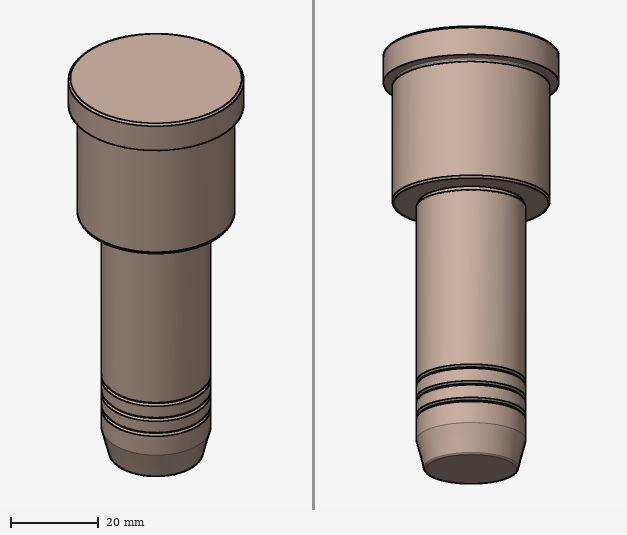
import cadquery as cq

total_length = 100.0
head_height = 7.0
shoulder_bottom = 64.0
taper_height = 7.0
head_bottom = total_length - head_height

head_diameter = 40.0
shoulder_diameter = 36.0
shank_diameter = 25.0
tip_diameter = 21.4

head_chamfer = 0.5
shoulder_chamfer_height = 0.6
shoulder_chamfer_inset = 0.3
tip_fillet = 0.5

relief_width = 1.0
relief_depth = 0.5
head_relief_fillet = 0.3
groove_half_width = 0.5
groove_depth = 0.5
groove_pitch = 4.0
groove_count = 3
lowest_groove_height = 12.5


def cylinder(diameter, bottom, top):
    """Solid cylinder on the Z axis between two heights."""
    return cq.Workplane("XY").workplane(offset=bottom).circle(diameter / 2).extrude(top - bottom)


def revolve_profile(points):
    """Solid of revolution about Z from (radius, height) points."""
    return cq.Workplane("XZ").polyline(points).close().revolve(360, (0, 0, 0), (0, 1, 0))


def relief_cut(diameter, step):
    """Square ring that undercuts a cylinder just below a step."""
    bottom = step - relief_width
    return cylinder(diameter, bottom, step).cut(cylinder(diameter - 2 * relief_depth, bottom, step))


def head_flare():
    """Body that fills the corner under the head with a concave fillet."""
    radius = shoulder_diameter / 2 - relief_depth
    fillet_bottom = head_bottom - head_relief_fillet
    return (
        cq.Workplane("XZ")
        .moveTo(0, fillet_bottom)
        .lineTo(radius, fillet_bottom)
        .radiusArc((radius + head_relief_fillet, head_bottom), head_relief_fillet)
        .lineTo(0, head_bottom)
        .close()
        .revolve(360, (0, 0, 0), (0, 1, 0))
    )


def v_groove(height):
    """Ring with a triangular section that cuts a V into the shank."""
    radius = shank_diameter / 2
    return revolve_profile([
        (radius, height - groove_half_width),
        (radius - groove_depth, height),
        (radius, height + groove_half_width),
    ])


head = cylinder(head_diameter, head_bottom, total_length).faces(">Z").edges().chamfer(head_chamfer)
shoulder = cylinder(shoulder_diameter, shoulder_bottom + shoulder_chamfer_height, head_bottom)
shoulder_lead_in = (
    cq.Workplane("XY")
    .workplane(offset=shoulder_bottom)
    .circle(shoulder_diameter / 2 - shoulder_chamfer_inset)
    .workplane(offset=shoulder_chamfer_height)
    .circle(shoulder_diameter / 2)
    .loft(ruled=True)
)
shank = cylinder(shank_diameter, taper_height, shoulder_bottom)

tip = (
    cq.Workplane("XY")
    .circle(tip_diameter / 2)
    .workplane(offset=taper_height)
    .circle(shank_diameter / 2)
    .loft(ruled=True)
    .faces("<Z")
    .edges()
    .fillet(tip_fillet)
)

result = head.union(shoulder).union(shoulder_lead_in).union(shank).union(tip)

result = result.cut(relief_cut(shoulder_diameter, head_bottom)).union(head_flare())
result = result.cut(relief_cut(shank_diameter, shoulder_bottom))

for index in range(groove_count):
    result = result.cut(v_groove(lowest_groove_height + index * groove_pitch))